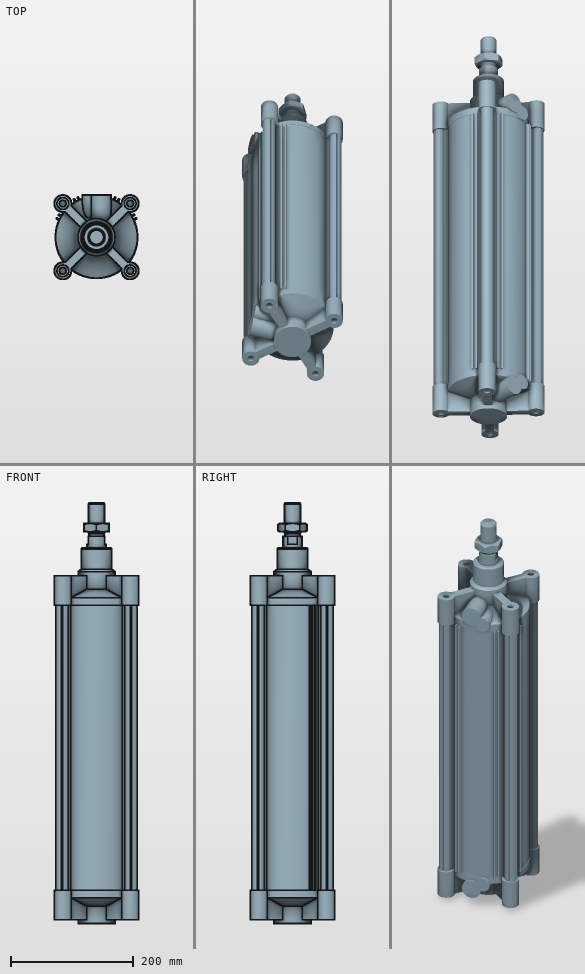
import cadquery as cq
import math


TOTAL_HEIGHT = 685.0
CAP_HEIGHT = 48.0
REAR_CAP_BOTTOM = 6.0
FRONT_CAP_TOP = 566.5
BARREL_BOTTOM = REAR_CAP_BOTTOM + CAP_HEIGHT
BARREL_TOP = FRONT_CAP_TOP - CAP_HEIGHT

CAP_DIAMETER = 134.0
CAP_BAND_HEIGHT = 11.5
CONE_HEIGHT = 14.5
COLLAR_DIAMETER = 60.0
POST_DIAMETER = 28.0
OVERALL_WIDTH = 138.0
POST_OFFSET = (OVERALL_WIDTH - POST_DIAMETER) / 2
RIB_WIDTH = 14.5
SCREW_RECESS_DIAMETER = 19.0
SCREW_RECESS_DEPTH = 0.35
SCREW_HOLE_DIAMETER = 11.0
SCREW_HOLE_DEPTH = 10.0

PORT_BOSS_DIAMETER = 32.0
PORT_BOSS_X = 7.5
PORT_BOSS_HEIGHT = CAP_HEIGHT / 2
CUSHION_BOSS_DIAMETER = 25.0
CUSHION_BOSS_X = -11.0
CUSHION_BOSS_HEIGHT = CUSHION_BOSS_DIAMETER / 2
BOSS_FACE_Y = OVERALL_WIDTH / 2

COLLAR_STRAIGHT_TOP = 573.0
GLAND_BOTTOM = 577.0
GLAND_TOP = 612.0
GLAND_DIAMETER = 50.0
GLAND_CHAMFER = 2.0

BARREL_DIAMETER = 133.0
BORE_DIAMETER = 125.0
LOBE_OFFSET = 56.0
LOBE_DIAMETER = 20.5
WEB_WIDTH = 14.5
LOBE_SLOT_WIDTH = 3.0
LOBE_SLOT_DEPTH = 4.0
RAIL_ANGLE = 28.0
RAIL_WIDTH = 9.0
RAIL_REACH = 72.0
RAIL_SLOT_WIDTH = 5.0
RAIL_SLOT_DEPTH = 7.0

ROD_DIAMETER = 32.0
ROD_STEP = 616.0
ROD_STEP_CHAMFER_HEIGHT = 2.0
ROD_END_DIAMETER = 31.5
ROD_SHOULDER = 630.0
NECK_DIAMETER = 25.0
THREAD_BOTTOM = 634.0
THREAD_RUNOUT = 2.0
THREAD_DIAMETER = 27.0
THREAD_CHAMFER_WIDTH = 1.7
THREAD_CHAMFER_HEIGHT = 3.0
WRENCH_FLAT_WIDTH = 27.5
WRENCH_FLAT_BOTTOM = 617.0
NUT_BOTTOM = 638.0
NUT_HEIGHT = 14.0
NUT_FLAT_WIDTH = 41.0
NUT_CHAMFER = 2.0

CORNERS = [(sx, sy) for sx in (-1, 1) for sy in (-1, 1)]


def cylinder(diameter, bottom, top):
    return cq.Workplane("XY").workplane(offset=bottom).circle(diameter / 2).extrude(top - bottom)


def block(x_range, y_range, z_range):
    """Box given by its limits along each axis."""
    sizes = [high - low for low, high in (x_range, y_range, z_range)]
    return cq.Workplane("XY").box(*sizes, centered=False).translate((x_range[0], y_range[0], z_range[0]))


def revolved(points):
    """Solid of revolution about Z from (radius, height) points."""
    return cq.Workplane("XZ").polyline(points).close().revolve(360, (0, 0), (0, 1))


def corner_angle(sx, sy):
    return math.degrees(math.atan2(sy, sx))


def y_boss(diameter, x, z):
    """Round boss running from the rod axis out to the +Y face."""
    return cq.Workplane("XZ").center(x, z).circle(diameter / 2).extrude(-BOSS_FACE_Y)


def make_cap(collar_height):
    """Cap standing on the plane Z = 0, with its outer end up."""
    cone_top = CAP_BAND_HEIGHT + CONE_HEIGHT
    cap = revolved([
        (0, 0),
        (CAP_DIAMETER / 2, 0),
        (CAP_DIAMETER / 2, CAP_BAND_HEIGHT),
        (COLLAR_DIAMETER / 2, cone_top),
        (COLLAR_DIAMETER / 2, collar_height),
        (0, collar_height),
    ])
    post_distance = POST_OFFSET * math.sqrt(2)
    for sx, sy in CORNERS:
        rib = block((0, post_distance), (-RIB_WIDTH / 2, RIB_WIDTH / 2), (0, CAP_HEIGHT))
        post = cylinder(POST_DIAMETER, 0, CAP_HEIGHT)
        cap = cap.union(rib.rotate((0, 0, 0), (0, 0, 1), corner_angle(sx, sy)))
        cap = cap.union(post.translate((sx * POST_OFFSET, sy * POST_OFFSET, 0)))

    cap = cap.union(y_boss(PORT_BOSS_DIAMETER, PORT_BOSS_X, PORT_BOSS_HEIGHT))
    cap = cap.union(y_boss(CUSHION_BOSS_DIAMETER, CUSHION_BOSS_X, CUSHION_BOSS_HEIGHT))

    recess = cylinder(SCREW_RECESS_DIAMETER, CAP_HEIGHT - SCREW_RECESS_DEPTH, CAP_HEIGHT)
    hole = cylinder(SCREW_HOLE_DIAMETER, CAP_HEIGHT - SCREW_HOLE_DEPTH, CAP_HEIGHT)
    screw_socket = recess.union(hole)
    for sx, sy in CORNERS:
        cap = cap.cut(screw_socket.translate((sx * POST_OFFSET, sy * POST_OFFSET, 0)))
    return cap


def make_rear_cap():
    """Cap turned upside down by mirroring, so that its port stays on the +Y side."""
    return make_cap(BARREL_BOTTOM).mirror("XY").translate((0, 0, BARREL_BOTTOM))


def make_front_cap():
    collar_height = COLLAR_STRAIGHT_TOP - BARREL_TOP
    cap = make_cap(collar_height).translate((0, 0, BARREL_TOP))
    gland_radius = GLAND_DIAMETER / 2
    gland = revolved([
        (0, COLLAR_STRAIGHT_TOP),
        (COLLAR_DIAMETER / 2, COLLAR_STRAIGHT_TOP),
        (gland_radius, GLAND_BOTTOM),
        (gland_radius, GLAND_TOP - GLAND_CHAMFER),
        (gland_radius - GLAND_CHAMFER, GLAND_TOP),
        (0, GLAND_TOP),
    ])
    return cap.union(gland).cut(cylinder(ROD_DIAMETER, BARREL_TOP, GLAND_TOP))


def make_barrel():
    z_range = (BARREL_BOTTOM, BARREL_TOP)
    barrel = cylinder(BARREL_DIAMETER, *z_range)
    lobe_radius = LOBE_DIAMETER / 2

    for sx, sy in CORNERS:
        web = block((0, LOBE_OFFSET * math.sqrt(2)), (-WEB_WIDTH / 2, WEB_WIDTH / 2), z_range)
        lobe = cylinder(LOBE_DIAMETER, *z_range)
        slot = block((lobe_radius - LOBE_SLOT_DEPTH, lobe_radius),
                     (-LOBE_SLOT_WIDTH / 2, LOBE_SLOT_WIDTH / 2), z_range)
        lobe = lobe.cut(slot.rotate((0, 0, 0), (0, 0, 1), 90 - 90 * sx))
        lobe = lobe.cut(slot.rotate((0, 0, 0), (0, 0, 1), 90 * sy))
        web = web.rotate((0, 0, 0), (0, 0, 1), corner_angle(sx, sy))
        barrel = barrel.union(web).union(lobe.translate((sx * LOBE_OFFSET, sy * LOBE_OFFSET, 0)))

    rail = block((0, RAIL_REACH), (-RAIL_WIDTH / 2, RAIL_WIDTH / 2), z_range)
    rail = rail.cut(block((RAIL_REACH - RAIL_SLOT_DEPTH, RAIL_REACH),
                          (-RAIL_SLOT_WIDTH / 2, RAIL_SLOT_WIDTH / 2), z_range))
    for angle in (RAIL_ANGLE, 90 - RAIL_ANGLE, 90 + RAIL_ANGLE, 180 - RAIL_ANGLE):
        barrel = barrel.union(rail.rotate((0, 0, 0), (0, 0, 1), angle))

    return barrel.cut(cylinder(BORE_DIAMETER, *z_range))


def make_rod():
    rod_radius = ROD_DIAMETER / 2
    end_radius = ROD_END_DIAMETER / 2
    neck_radius = NECK_DIAMETER / 2
    thread_radius = THREAD_DIAMETER / 2
    rod = revolved([
        (0, BARREL_TOP),
        (rod_radius, BARREL_TOP),
        (rod_radius, ROD_STEP - ROD_STEP_CHAMFER_HEIGHT),
        (end_radius, ROD_STEP),
        (end_radius, ROD_SHOULDER),
        (neck_radius, ROD_SHOULDER),
        (neck_radius, THREAD_BOTTOM),
        (thread_radius, THREAD_BOTTOM + THREAD_RUNOUT),
        (thread_radius, TOTAL_HEIGHT - THREAD_CHAMFER_HEIGHT),
        (thread_radius - THREAD_CHAMFER_WIDTH, TOTAL_HEIGHT),
        (0, TOTAL_HEIGHT),
    ])
    for side in (-1, 1):
        x_limits = sorted((side * WRENCH_FLAT_WIDTH / 2, side * end_radius))
        rod = rod.cut(block(x_limits, (-end_radius, end_radius), (WRENCH_FLAT_BOTTOM, ROD_SHOULDER)))
    return rod


def make_nut():
    """Hexagon nut with two flats facing X and its corners turned to a cone at both ends."""
    corner_diameter = NUT_FLAT_WIDTH / math.cos(math.pi / 6)
    nut_top = NUT_BOTTOM + NUT_HEIGHT
    nut = cq.Workplane("XY").workplane(offset=NUT_BOTTOM).polygon(6, corner_diameter).extrude(NUT_HEIGHT)
    nut = nut.rotate((0, 0, 0), (0, 0, 1), 30)
    envelope = revolved([
        (0, NUT_BOTTOM),
        (NUT_FLAT_WIDTH / 2, NUT_BOTTOM),
        (corner_diameter / 2, NUT_BOTTOM + NUT_CHAMFER),
        (corner_diameter / 2, nut_top - NUT_CHAMFER),
        (NUT_FLAT_WIDTH / 2, nut_top),
        (0, nut_top),
    ])
    return nut.intersect(envelope).cut(cylinder(THREAD_DIAMETER, NUT_BOTTOM, nut_top))


rear_cap = make_rear_cap()
barrel = make_barrel()
front_cap = make_front_cap()
rod = make_rod()
nut = make_nut()

result = cq.Compound.makeCompound([
    rear_cap.val(),
    barrel.val(),
    front_cap.val(),
    rod.val(),
    nut.val(),
])